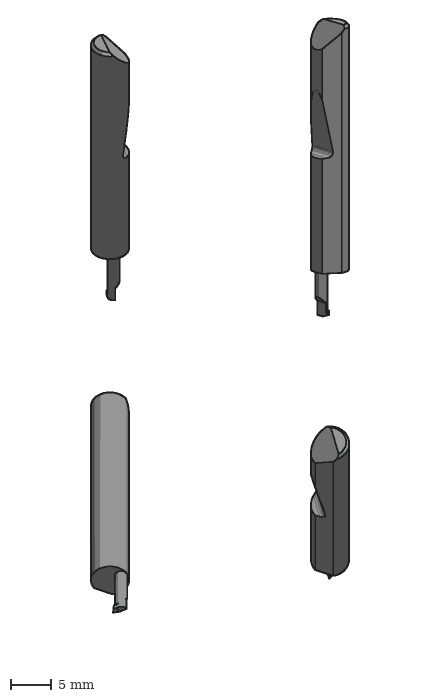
import cadquery as cq
import math

total_length = 38.1
shank_diameter = 4.75
shank_radius = shank_diameter / 2
neck_length = 6.4
neck_diameter = 1.55
neck_radius = neck_diameter / 2
neck_x = shank_radius - neck_radius

end_chamfer = 0.4
bevel_start_y = -0.6
flat_distance = 2.05
flat_direction = 145.0
notch_top_z = 29.95
notch_bottom_z = 21.15
notch_tilt = 9.5
notch_corner_radius = 0.75

rake_top_z = 1.85
tip_x = 0.42
tip_low_z = 0.35
tip_high_z = 0.45
tooth_top_z = 0.7
tooth_shoulder_x = 0.65
tooth_heel_x = 1.0
end_relief_x = 1.37

clearance = 2 * shank_diameter


def make_shank():
    """Round shank with a chamfered top edge."""
    shank = cq.Workplane("XY").workplane(offset=neck_length)
    shank = shank.circle(shank_radius).extrude(total_length - neck_length)
    return shank.faces(">Z").chamfer(end_chamfer)


def make_end_bevel():
    """Wedge above the 45 degree slope at the +Y side of the top."""
    points = [
        (bevel_start_y, total_length),
        (bevel_start_y + clearance, total_length - clearance),
        (bevel_start_y + clearance, total_length),
    ]
    return cq.Workplane("YZ").polyline(points).close().extrude(clearance, both=True)


def make_side_flat():
    """Block beyond the flat that runs along the whole shank."""
    block = cq.Workplane("XY").box(clearance, clearance, total_length, centered=(False, True, False))
    block = block.translate((flat_distance, 0, neck_length))
    return block.rotate((0, 0, 0), (0, 0, 1), flat_direction)


def make_notch():
    """Clamping notch with a tilted floor, a wall square to it and a rounded corner."""
    tilt = math.radians(notch_tilt)
    floor_length = (notch_top_z - notch_bottom_z) * math.cos(tilt)
    corner_y = shank_radius - floor_length * math.sin(tilt)
    corner_z = notch_top_z - floor_length * math.cos(tilt)
    outer_y = shank_radius + clearance
    points = [
        (corner_y, corner_z),
        (shank_radius, notch_top_z),
        (outer_y, notch_top_z),
        (outer_y, notch_bottom_z),
        (shank_radius, notch_bottom_z),
    ]
    notch = cq.Workplane("YZ").polyline(points).close().extrude(clearance, both=True)
    return notch.edges("<Y").fillet(notch_corner_radius)


def make_neck():
    """Slim neck whose lower end is cut to a half round with a 45 degree run-out."""
    neck = cq.Workplane("XY").center(neck_x, 0).circle(neck_radius).extrude(neck_length)
    points = [
        (0, 0),
        (0, rake_top_z),
        (neck_diameter, rake_top_z + neck_diameter),
        (neck_diameter, 0),
    ]
    rake = cq.Workplane("YZ").polyline(points).close().extrude(clearance)
    return neck.cut(rake)


def make_tooth():
    """Pointed tooth, relieved from its cutting face at Y = 0 back to the heel."""
    profile = [
        (tip_x, tip_low_z),
        (tip_x, tip_high_z),
        (tooth_shoulder_x, tooth_top_z),
        (neck_x, tooth_top_z),
        (neck_x, 0),
        (end_relief_x, 0),
    ]
    plan = [
        (tip_x, 0),
        (tooth_heel_x, -neck_radius),
        (neck_x, -neck_radius),
        (neck_x, 0),
    ]
    side = cq.Workplane("XZ").polyline(profile).close().extrude(neck_radius)
    outline = cq.Workplane("XY").polyline(plan).close().extrude(tooth_top_z)
    return side.intersect(outline)


def make_end_relief():
    """Wedge below the sloping bottom edge of the tooth."""
    points = [(tip_x, 0), (tip_x, tip_low_z), (end_relief_x, 0)]
    return cq.Workplane("XZ").polyline(points).close().extrude(clearance, both=True)


shank = make_shank().cut(make_end_bevel()).cut(make_side_flat()).cut(make_notch())
cutting_end = make_neck().union(make_tooth()).cut(make_end_relief())
result = shank.union(cutting_end)